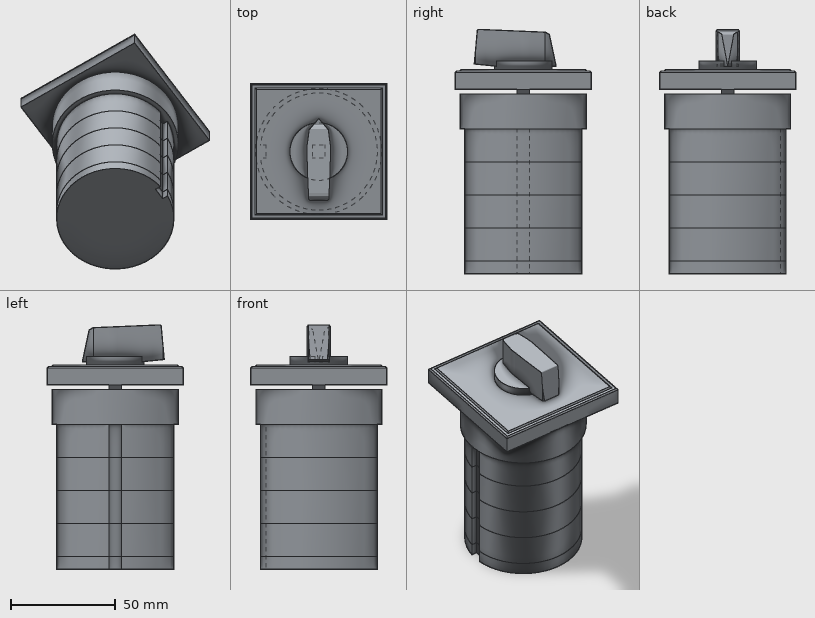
import cadquery as cq
import math

overall_height = 116.7

body_radius = 28.0
cap_height = 6.2
stage_height = 15.7
stage_count = 4
slot_width = 6.2
slot_depth = 2.9
head_radius = 30.1
head_height = 16.7

shaft_width = 6.2
gap_height = 2.2

plate_width = 65.0
plate_thickness = 8.7
plate_chamfer = 0.7
label_width = 60.7
label_thickness = 0.7

disc_radius = 13.8
disc_height = 4.1

grip_tip_y = 15.7
grip_nose_half_width = 1.9
grip_shoulder_half_width = 4.5
grip_shoulder_y = 10.5
grip_bulge_half_width = 5.6
grip_bulge_start_y = 2.6
grip_bulge_end_y = -1.4
grip_bulge_rise = 0.1
grip_waist_half_width = 5.2
grip_tail_half_width = 4.8
grip_tail_y = -23.5
grip_tail_chamfer = 0.7

grip_underside_clearance = 1.5
grip_shoulder_top_drop = 1.3
grip_tip_top_drop = 2.3
grip_tip_top_y = 12.5
grip_crest_y = -19.8
grip_back_top_y = -21.9
grip_tail_lift = 1.0
grip_top_radius = 0.7

stages_top = cap_height + stage_count * stage_height
head_top = stages_top + head_height
plate_bottom = head_top + gap_height
plate_top = plate_bottom + plate_thickness
label_top = plate_top + label_thickness


def slotted_disc(bottom, height):
    """Round stack element with a square-cornered slot down its -X side."""
    half_slot = slot_width / 2
    slot_mouth_x = -math.sqrt(body_radius**2 - half_slot**2)
    slot_floor_x = slot_depth - body_radius
    return (
        cq.Workplane("XY")
        .workplane(offset=bottom)
        .moveTo(slot_floor_x, half_slot)
        .lineTo(slot_floor_x, -half_slot)
        .lineTo(slot_mouth_x, -half_slot)
        .threePointArc((body_radius, 0), (slot_mouth_x, half_slot))
        .close()
        .extrude(height)
    )


def make_head():
    return cq.Workplane("XY").workplane(offset=stages_top).circle(head_radius).extrude(head_height)


def make_shaft():
    return cq.Workplane("XY").workplane(offset=head_top).rect(shaft_width, shaft_width).extrude(gap_height)


def make_bevelled_plate(bottom, width, thickness, bevel):
    """Square plate; the top edges are cut back by the bevel at 45 degrees."""
    plate = cq.Workplane("XY").workplane(offset=bottom)
    straight_height = thickness - bevel
    if straight_height > 0:
        plate = plate.rect(width, width).extrude(straight_height).faces(">Z").workplane()
    return plate.rect(width, width).extrude(bevel, taper=45)


def disc_edge_y(half_width):
    """Distance from the X axis at which the disc edge is half_width from the Y axis."""
    return math.sqrt(disc_radius**2 - half_width**2)


def make_grip_plan():
    """Grip outline in plan, extruded over the full height of the handle."""
    nose_y = disc_edge_y(grip_nose_half_width)
    waist_y = -disc_edge_y(grip_waist_half_width)
    bulge_middle_y = (grip_bulge_start_y + grip_bulge_end_y) / 2
    bulge_peak = grip_bulge_half_width + grip_bulge_rise
    chamfered_half_width = grip_tail_half_width - grip_tail_chamfer
    chamfer_start_y = grip_tail_y + grip_tail_chamfer
    return (
        cq.Workplane("XY")
        .workplane(offset=label_top)
        .moveTo(0, grip_tip_y)
        .lineTo(grip_nose_half_width, nose_y)
        .lineTo(grip_shoulder_half_width, grip_shoulder_y)
        .lineTo(grip_bulge_half_width, grip_bulge_start_y)
        .threePointArc((bulge_peak, bulge_middle_y), (grip_bulge_half_width, grip_bulge_end_y))
        .lineTo(grip_waist_half_width, waist_y)
        .lineTo(grip_tail_half_width, chamfer_start_y)
        .lineTo(chamfered_half_width, grip_tail_y)
        .lineTo(-chamfered_half_width, grip_tail_y)
        .lineTo(-grip_tail_half_width, chamfer_start_y)
        .lineTo(-grip_waist_half_width, waist_y)
        .lineTo(-grip_bulge_half_width, grip_bulge_end_y)
        .threePointArc((-bulge_peak, bulge_middle_y), (-grip_bulge_half_width, grip_bulge_start_y))
        .lineTo(-grip_shoulder_half_width, grip_shoulder_y)
        .lineTo(-grip_nose_half_width, nose_y)
        .close()
        .extrude(overall_height - label_top)
    )


def make_grip_profile():
    """Side profile of the grip in the YZ plane, wide enough to span the whole grip."""
    underside = label_top + grip_underside_clearance
    tip_top_z = overall_height - grip_tip_top_drop
    shoulder_top_z = overall_height - grip_shoulder_top_drop
    profile = (
        cq.Workplane("YZ")
        .moveTo(grip_tip_y, underside)
        .lineTo(grip_tip_top_y, tip_top_z)
        .lineTo(grip_shoulder_y, shoulder_top_z)
        .lineTo(grip_crest_y, overall_height)
        .lineTo(grip_back_top_y, overall_height)
        .lineTo(grip_tail_y, underside + grip_tail_lift)
        .lineTo(-disc_edge_y(grip_waist_half_width), underside)
        .close()
        .extrude(disc_radius, both=True)
    )
    rounded_corners = [
        (grip_tip_top_y, tip_top_z),
        (grip_shoulder_y, shoulder_top_z),
        (grip_back_top_y, overall_height),
    ]
    for y, z in rounded_corners:
        edge = cq.selectors.NearestToPointSelector((0, y, z))
        profile = profile.edges(edge).fillet(grip_top_radius)
    return profile


def make_handle():
    disc = cq.Workplane("XY").workplane(offset=label_top).circle(disc_radius).extrude(disc_height)
    grip = make_grip_plan().intersect(make_grip_profile())
    return disc.union(grip)


end_cap = slotted_disc(0, cap_height)
stages = [slotted_disc(cap_height + i * stage_height, stage_height) for i in range(stage_count)]
head = make_head()
shaft = make_shaft()
plate = make_bevelled_plate(plate_bottom, plate_width, plate_thickness, plate_chamfer)
label = make_bevelled_plate(plate_top, label_width, label_thickness, label_thickness)
handle = make_handle()

result = cq.Compound.makeCompound(
    [
        end_cap.val(),
        *[stage.val() for stage in stages],
        head.val(),
        shaft.val(),
        plate.val(),
        label.val(),
        handle.val(),
    ]
)